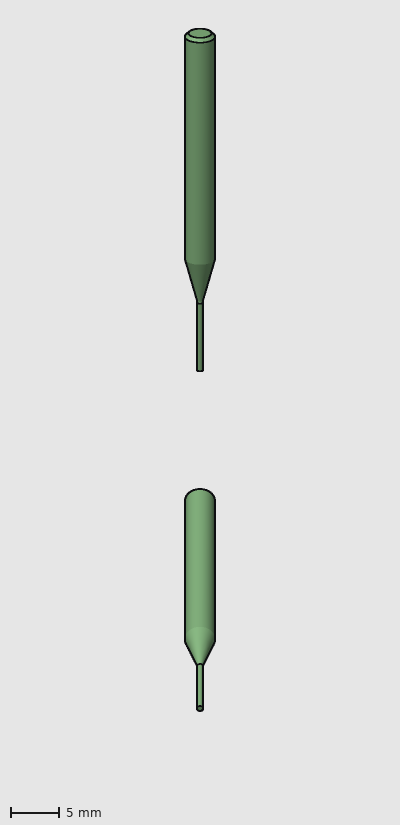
import cadquery as cq

total_length = 38.1
shank_diameter = 3.15
tip_diameter = 0.65

tip_length = 7.65
cone_bottom = 7.9
cone_top = 12.6
end_chamfer = 0.4

shank_radius = shank_diameter / 2
tip_radius = tip_diameter / 2


def revolve_about_axis(profile_points):
    """Revolve a closed outline of (x, z) points a full turn about the Z axis."""
    outline = cq.Workplane("XZ").polyline(profile_points).close()
    return outline.revolve(360, (0, 0, 0), (0, 1, 0))


def make_shank():
    """Chamfered shank with a cone that narrows to a short neck above the tip."""
    return revolve_about_axis([
        (0, tip_length),
        (-tip_radius, tip_length),
        (-tip_radius, cone_bottom),
        (-shank_radius, cone_top),
        (-shank_radius, total_length - end_chamfer),
        (-shank_radius + end_chamfer, total_length),
        (0, total_length),
    ])


def make_tip():
    """Plain thin cylinder that meets the end face of the neck."""
    return revolve_about_axis([
        (0, 0),
        (-tip_radius, 0),
        (-tip_radius, tip_length),
        (0, tip_length),
    ])


shank = make_shank()
tip = make_tip()

result = cq.Compound.makeCompound([shank.val(), tip.val()])